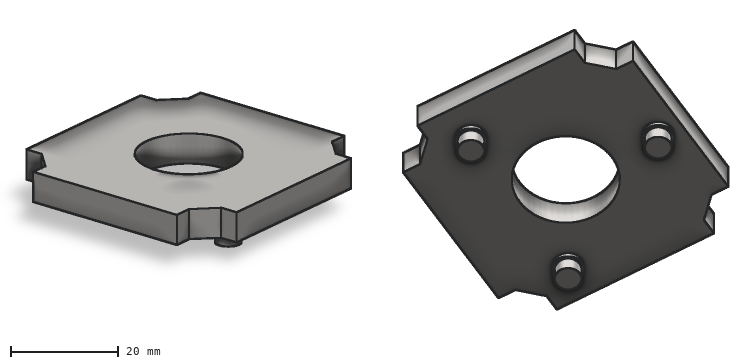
import cadquery as cq
import math

plate_side = 49.8
plate_thickness = 6.05
bore_diameter = 20.0

notch_size = 7.85
notch_lip = 3.65

pin_count = 3
pin_circle_radius = bore_diameter
first_pin_angle = 90.0
collar_diameter = 6.0
collar_height = 1.0
pin_diameter = 5.0
pin_length = 4.0


def corner_notch():
    """Cutter for the notch in the +X +Y corner."""
    edge = plate_side / 2
    inner = edge - notch_size
    lip = edge - notch_lip
    outline = [(edge, edge), (inner, edge), (inner, lip), (lip, inner), (edge, inner)]
    return cq.Workplane("XY").polyline(outline).close().extrude(plate_thickness)


def notched_plate():
    """Square plate with its underside at Z = 0, a central bore and four corner notches."""
    plate = cq.Workplane("XY").rect(plate_side, plate_side).circle(bore_diameter / 2)
    plate = plate.extrude(plate_thickness)
    notch = corner_notch()
    for quarter in range(4):
        plate = plate.cut(notch.rotate((0, 0, 0), (0, 0, 1), 90 * quarter))
    return plate


def stepped_pin(x, y):
    """Pin hanging below Z = 0 with a wider collar against the plate."""
    base = cq.Workplane("XY").center(x, y)
    collar = base.circle(collar_diameter / 2).extrude(-collar_height)
    return collar.union(base.circle(pin_diameter / 2).extrude(-pin_length))


result = notched_plate()
for index in range(pin_count):
    angle = math.radians(first_pin_angle + index * 360 / pin_count)
    pin_x = pin_circle_radius * math.cos(angle)
    pin_y = pin_circle_radius * math.sin(angle)
    result = result.union(stepped_pin(pin_x, pin_y))